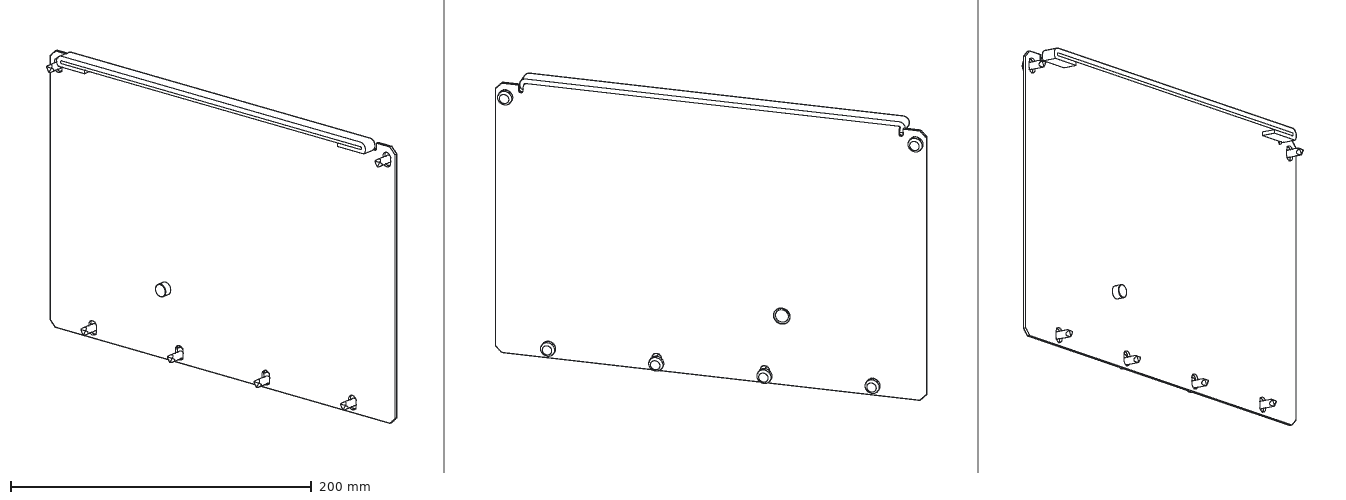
import cadquery as cq
import math


SHEET_WIDTH = 298.0
SHEET_HEIGHT = 196.0
SHEET_THICKNESS = 2.0
CORNER_CHAMFER = 4.5

BEND_INNER_RADIUS = 1.5
BEND_OUTER_RADIUS = BEND_INNER_RADIUS + SHEET_THICKNESS
FLANGE_REACH = 14.0
FLANGE_HALF_LENGTH = 130.0
RELIEF_WIDTH = 3.0
RELIEF_DEPTH = 5.5

STRIP_TOP = 199.5
STRIP_DEPTH = 10.0
STRIP_END_RADIUS = 4.5
LIP_BOTTOM = 191.5
LIP_LENGTH = 19.7
FLANGE_END_RADIUS = SHEET_THICKNESS / 2
FLANGE_MID_Z = SHEET_HEIGHT - FLANGE_END_RADIUS
STRIP_END_X = FLANGE_HALF_LENGTH - FLANGE_END_RADIUS

SLOT_WIDTH = 6.5
SLOT_LENGTH = 10.0
UPPER_SLOT_X = 141.8
UPPER_SLOT_Z = 186.5
LOWER_SLOT_PITCH = 74.8
LOWER_SLOT_Z = 7.2
UPPER_SLOTS = [(side * UPPER_SLOT_X, UPPER_SLOT_Z) for side in (-1, 1)]
LOWER_SLOTS = [(step * LOWER_SLOT_PITCH, LOWER_SLOT_Z) for step in (-1.5, -0.5, 0.5, 1.5)]
SLOT_CENTRES = UPPER_SLOTS + LOWER_SLOTS
INNER_SCREW_DROP = 1.8
SHANK_RADIUS = 2.5
SHANK_END = 12.0
TIP_LENGTH = 2.53
TIP_FLATS = 3
TIP_INRADIUS = 1.25
TIP_CHAMFER = 0.45
HEAD_RADIUS = 4.92
HEAD_HEIGHT = 4.0
HEAD_TOP_RADIUS = 3.3
HEAD_RIM_HEIGHT = 2.5

STUD_X = -49.2
STUD_Z = 50.0
STUD_RADIUS = 4.5
STUD_END = 7.5
STUD_CHAMFER = 0.3
STUD_DISC_RADIUS = 5.7
STUD_DISC_THICKNESS = 0.75


def front_plane(x, y, z):
    """Workplane parallel to the sheet, with its normal towards -Y."""
    return cq.Workplane("XZ", origin=(x, y, z))


def turned(half_profile, x, z):
    """Body of revolution about an axis along Y; the profile holds (radius, Y) points."""
    body = cq.Workplane("XY").polyline(half_profile).close().revolve(360, (0, 0, 0), (0, 1, 0))
    return body.translate((x, 0, z))


def rounded_flange():
    """Flange tongue with fully rounded ends, from the bend to its front edge."""
    return (
        front_plane(0, -BEND_OUTER_RADIUS, FLANGE_MID_Z)
        .slot2D(2 * FLANGE_HALF_LENGTH, SHEET_THICKNESS)
        .extrude(FLANGE_REACH - BEND_OUTER_RADIUS)
    )


def make_sheet():
    upright = (
        front_plane(0, 0, SHEET_HEIGHT / 2)
        .rect(SHEET_WIDTH, SHEET_HEIGHT)
        .extrude(SHEET_THICKNESS)
        .edges("|Y")
        .chamfer(CORNER_CHAMFER)
    )

    bend_bottom = SHEET_HEIGHT - BEND_OUTER_RADIUS
    bend_clearance = (
        front_plane(0, 0, SHEET_HEIGHT - BEND_OUTER_RADIUS / 2)
        .rect(2 * FLANGE_HALF_LENGTH, BEND_OUTER_RADIUS)
        .extrude(SHEET_THICKNESS)
    )
    relief_x = FLANGE_HALF_LENGTH + RELIEF_WIDTH / 2
    relief_notches = (
        front_plane(0, 0, SHEET_HEIGHT)
        .pushPoints([(-relief_x, 0), (relief_x, 0)])
        .slot2D(2 * RELIEF_DEPTH, RELIEF_WIDTH, 90)
        .extrude(SHEET_THICKNESS)
    )

    half_diagonal = math.sqrt(0.5)
    outer_mid = BEND_OUTER_RADIUS * half_diagonal
    inner_mid = BEND_INNER_RADIUS * half_diagonal
    bend = (
        cq.Workplane("YZ", origin=(0, -BEND_OUTER_RADIUS, bend_bottom))
        .moveTo(BEND_OUTER_RADIUS, 0)
        .threePointArc((outer_mid, outer_mid), (0, BEND_OUTER_RADIUS))
        .lineTo(0, BEND_INNER_RADIUS)
        .threePointArc((inner_mid, inner_mid), (BEND_INNER_RADIUS, 0))
        .close()
        .extrude(FLANGE_HALF_LENGTH, both=True)
    )

    slots = (
        front_plane(0, 0, 0)
        .pushPoints(SLOT_CENTRES)
        .slot2D(SLOT_LENGTH, SLOT_WIDTH, 90)
        .extrude(SHEET_THICKNESS)
    )
    stud_hole = front_plane(STUD_X, 0, STUD_Z).circle(STUD_RADIUS).extrude(SHEET_THICKNESS)
    folded = upright.cut(bend_clearance).cut(relief_notches).union(bend).union(rounded_flange())
    return folded.cut(slots).cut(stud_hole)


def make_handle_strip():
    """C-section strip: a bar over the flange, rounded ends around it, and a short lip at each end."""
    strip_rear = STRIP_DEPTH - FLANGE_REACH
    round_centre_z = STRIP_TOP - STRIP_END_RADIUS
    strip = (
        front_plane(0, strip_rear, round_centre_z)
        .slot2D(2 * (STRIP_END_X + STRIP_END_RADIUS), 2 * STRIP_END_RADIUS)
        .extrude(STRIP_DEPTH)
    )

    strip_height = STRIP_TOP - LIP_BOTTOM
    envelope = (
        front_plane(0, strip_rear, LIP_BOTTOM + strip_height / 2)
        .rect(SHEET_WIDTH, strip_height)
        .extrude(STRIP_DEPTH)
    )

    opening_height = FLANGE_MID_Z - LIP_BOTTOM
    opening = (
        front_plane(0, strip_rear, LIP_BOTTOM + opening_height / 2)
        .rect(2 * (STRIP_END_X - LIP_LENGTH), opening_height)
        .extrude(STRIP_DEPTH)
    )
    return strip.intersect(envelope).cut(opening).cut(rounded_flange())


def make_screw(x, z):
    """Flat-head screw whose tip tapers on three flats to a triangle with one corner down."""
    half_profile = [
        (0, HEAD_HEIGHT),
        (HEAD_TOP_RADIUS, HEAD_HEIGHT),
        (HEAD_RADIUS, HEAD_RIM_HEIGHT),
        (HEAD_RADIUS, 0),
        (SHANK_RADIUS, 0),
        (SHANK_RADIUS, TIP_CHAMFER - SHANK_END),
        (SHANK_RADIUS - TIP_CHAMFER, -SHANK_END),
        (0, -SHANK_END),
    ]
    screw = turned(half_profile, x, z)
    for index in range(TIP_FLATS):
        flat = (
            cq.Workplane("YZ")
            .polyline([
                (TIP_LENGTH - SHANK_END, SHANK_RADIUS),
                (-SHANK_END, TIP_INRADIUS),
                (-SHANK_END, SHANK_RADIUS),
            ])
            .close()
            .extrude(SHANK_RADIUS, both=True)
            .rotate((0, 0, 0), (0, 1, 0), index * 360 / TIP_FLATS)
            .translate((x, 0, z))
        )
        screw = screw.cut(flat)
    return screw


def make_stud():
    half_profile = [
        (0, STUD_DISC_THICKNESS),
        (STUD_DISC_RADIUS, STUD_DISC_THICKNESS),
        (STUD_DISC_RADIUS, 0),
        (STUD_RADIUS, 0),
        (STUD_RADIUS, STUD_CHAMFER - STUD_END),
        (STUD_RADIUS - STUD_CHAMFER, -STUD_END),
        (0, -STUD_END),
    ]
    return turned(half_profile, STUD_X, STUD_Z)


sheet = make_sheet()
handle_strip = make_handle_strip()
stud = make_stud()
screws = []
for slot_x, slot_z in SLOT_CENTRES:
    is_inner = abs(slot_x) < LOWER_SLOT_PITCH
    screw_z = slot_z - INNER_SCREW_DROP if is_inner else slot_z
    screws.append(make_screw(slot_x, screw_z).val())

result = cq.Compound.makeCompound([sheet.val(), handle_strip.val(), stud.val(), *screws])